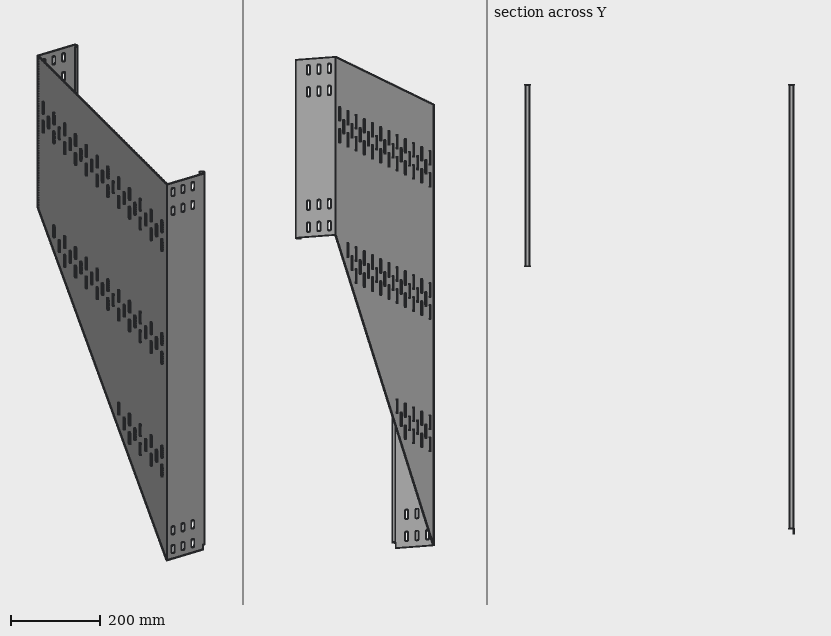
import cadquery as cq

WIDTH = 600.0
DEPTH = 98.0
HEIGHT = 1000.0
SHEET = 2.0

CUT_TIP = 4.0
CUT_RUN = WIDTH - CUT_TIP
SHORT_SIDE = HEIGHT - CUT_RUN

HOOK_RADIUS = 6.0
HOOK_LIP = 3.0
HOOK_WIDTH = 2 * HOOK_RADIUS
HOOK_SETBACK = HOOK_WIDTH

BASE_SLOT_WIDTH = 7.0
BASE_SLOT_LENGTH = 32.0
BASE_PITCH = 50.0
BASE_STEP = BASE_PITCH / 2
ROWS_PER_BAND = 3
BAND_DEPTHS = (125.0, 425.0, 725.0)

WALL_SLOT_WIDTH = 7.5
WALL_SLOT_LENGTH = 22.0
WALL_COLUMNS = 3
WALL_COLUMN_PITCH = 25.0
FIRST_WALL_COLUMN = 16.0
WALL_ROW_PITCH = 50.0
TOP_MARGIN = 25.0
LONG_WALL_BOTTOM_MARGIN = 25.0
SHORT_WALL_BOTTOM_MARGIN = 22.0


def make_channel():
    """Base and two walls as one bent strip, full height everywhere."""
    half = WIDTH / 2
    inner = half - SHEET
    arc_y = DEPTH - HOOK_RADIUS
    arc_x = half - HOOK_RADIUS
    tip_y = arc_y - HOOK_LIP
    lip_outer = half - HOOK_WIDTH
    lip_inner = lip_outer + SHEET
    crown = DEPTH - SHEET
    return (
        cq.Workplane("XY")
        .moveTo(-half, 0)
        .lineTo(half, 0)
        .lineTo(half, arc_y)
        .threePointArc((arc_x, DEPTH), (lip_outer, arc_y))
        .lineTo(lip_outer, tip_y)
        .lineTo(lip_inner, tip_y)
        .lineTo(lip_inner, arc_y)
        .threePointArc((arc_x, crown), (inner, arc_y))
        .lineTo(inner, SHEET)
        .lineTo(-inner, SHEET)
        .lineTo(-inner, arc_y)
        .threePointArc((-arc_x, crown), (-lip_inner, arc_y))
        .lineTo(-lip_inner, tip_y)
        .lineTo(-lip_outer, tip_y)
        .lineTo(-lip_outer, arc_y)
        .threePointArc((-arc_x, DEPTH), (-half, arc_y))
        .close()
        .extrude(HEIGHT)
    )


def make_corner_cutter():
    """Triangular block below the slanted edge, through the full depth."""
    left = -WIDTH / 2
    return (
        cq.Workplane("XZ")
        .polyline([(left, 0), (left + CUT_RUN, 0), (left, CUT_RUN)])
        .close()
        .extrude(-DEPTH)
    )


def make_short_wall_trim():
    """Block that squares off the short wall and its hook level with the start of the slant."""
    return (
        cq.Workplane("XY")
        .box(HOOK_WIDTH, DEPTH - SHEET, CUT_RUN, centered=False)
        .translate((-WIDTH / 2, SHEET, 0))
    )


def make_hook_notch():
    """L-shaped block that sets the hook of the long wall back, leaving the flat wall whole."""
    outer = WIDTH / 2
    inner = outer - SHEET
    hook_left = outer - HOOK_WIDTH
    arc_y = DEPTH - HOOK_RADIUS
    tip_y = arc_y - HOOK_LIP
    return (
        cq.Workplane("XY")
        .polyline([
            (hook_left, tip_y),
            (inner, tip_y),
            (inner, arc_y),
            (outer, arc_y),
            (outer, DEPTH),
            (hook_left, DEPTH),
        ])
        .close()
        .extrude(HOOK_SETBACK)
    )


def base_slot_centers():
    """Staggered slots, kept where the lower slot end clears the slanted edge."""
    centers = []
    for band_depth in BAND_DEPTHS:
        for row in range(ROWS_PER_BAND):
            depth = band_depth + row * BASE_STEP
            cut_from_left = depth + BASE_SLOT_LENGTH / 2 - SHORT_SIDE
            from_left = BASE_STEP * (1 + row % 2)
            while from_left < WIDTH - BASE_STEP / 2:
                if from_left > cut_from_left:
                    centers.append((from_left - WIDTH / 2, HEIGHT - depth))
                from_left += BASE_PITCH
    return centers


def make_base_slots():
    return (
        cq.Workplane("XZ")
        .pushPoints(base_slot_centers())
        .slot2D(BASE_SLOT_LENGTH, BASE_SLOT_WIDTH, 90)
        .extrude(-SHEET)
    )


def make_wall_slots(wall_x, wall_length, bottom_margin):
    """Two slot rows near each end of the wall whose lower X face is at wall_x."""
    depths = [
        TOP_MARGIN,
        TOP_MARGIN + WALL_ROW_PITCH,
        wall_length - bottom_margin - WALL_ROW_PITCH,
        wall_length - bottom_margin,
    ]
    centers = [
        (FIRST_WALL_COLUMN + column * WALL_COLUMN_PITCH, HEIGHT - depth)
        for column in range(WALL_COLUMNS)
        for depth in depths
    ]
    return (
        cq.Workplane("YZ", origin=(wall_x, 0, 0))
        .pushPoints(centers)
        .slot2D(WALL_SLOT_LENGTH, WALL_SLOT_WIDTH, 90)
        .extrude(SHEET)
    )


result = (
    make_channel()
    .cut(make_corner_cutter())
    .cut(make_short_wall_trim())
    .cut(make_hook_notch())
    .cut(make_base_slots())
    .cut(make_wall_slots(-WIDTH / 2, SHORT_SIDE, SHORT_WALL_BOTTOM_MARGIN))
    .cut(make_wall_slots(WIDTH / 2 - SHEET, HEIGHT, LONG_WALL_BOTTOM_MARGIN))
)